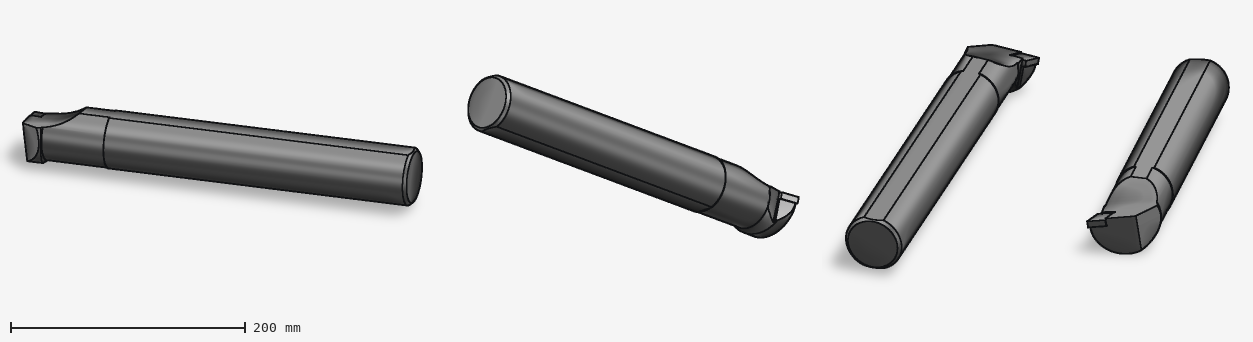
import cadquery as cq

total_length = 350.0
shank_start = 80.0
shank_diameter = 50.0
flat_height = 23.5
end_chamfer = 2.8
neck_start = 25.0
neck_diameter = 49.0

head_radius = 29.0
head_offset = head_radius - shank_diameter / 2
taper_start = 14.0
taper_slope = 0.76

rake_along_x = 0.14
rake_along_y = 0.125
rake_height = 6.5
floor_curve_start = 26.2
floor_curve_radius = 52.5
relief_depth = 10.0
relief_angle = 1.2
head_depth = 49.0
over = 3.5

insert_drop = 1.22
insert_thickness = 6.0
insert_width = 12.5
insert_tip = 35.5
insert_front = -0.77
insert_side_drop = 7.5
insert_face_inner = 19.5
insert_inner_corner = 13.0
insert_face_lean = 0.7
side_clearance = 1.5


def rake_plane(height):
    """Plane parallel to the rake floor, offset along its normal."""
    floor = cq.Plane(
        origin=(0, 0, rake_height),
        xDir=(1, 0, rake_along_x),
        normal=(-rake_along_x, rake_along_y, 1),
    )
    floor.origin = floor.toWorldCoords((0, 0, height))
    return floor


def round_bar(diameter, start, end):
    return cq.Workplane("YZ", origin=(start, 0, 0)).circle(diameter / 2).extrude(end - start)


def make_shank():
    """Round shank with a chamfered end and a flat above and below."""
    shank = round_bar(shank_diameter, shank_start, total_length).faces(">X").chamfer(end_chamfer)
    between_flats = cq.Workplane("XY").box(3 * total_length, 2 * shank_diameter, 2 * flat_height)
    return shank.intersect(between_flats)


def make_neck():
    """Round neck with a flat above only."""
    neck = round_bar(neck_diameter, neck_start, shank_start)
    above_flat = (
        cq.Workplane("XY", origin=(0, 0, flat_height))
        .rect(3 * total_length, 2 * shank_diameter)
        .extrude(neck_diameter)
    )
    return neck.cut(above_flat)


def head_round():
    """Eccentric cylinder limited by a cone that runs down to the neck."""
    cylinder = (
        cq.Workplane("YZ", origin=(-over, head_offset, 0))
        .circle(head_radius)
        .extrude(neck_start + over)
    )
    neck_radius = neck_diameter / 2
    taper_radius = neck_radius + taper_slope * (neck_start - taper_start)
    envelope = (
        cq.Workplane("XZ")
        .moveTo(-over, 0)
        .lineTo(-over, taper_radius)
        .lineTo(taper_start, taper_radius)
        .lineTo(neck_start, neck_radius)
        .lineTo(neck_start, 0)
        .close()
        .revolve(360, (0, 0, 0), (1, 0, 0))
    )
    return cylinder.intersect(envelope)


def head_outline(height):
    """Outline of the head in a plane parallel to the rake floor."""
    seat_tip = insert_tip - side_clearance
    front_x = -0.5
    corner_start = (2.0, -4.0)
    corner_end = (2.8, -7.0)
    lead_end = (27.3, -29.0)
    side_y = 24.5
    return cq.Workplane(rake_plane(height)).polyline([
        (front_x, seat_tip),
        corner_start,
        corner_end,
        lead_end,
        (2 * neck_start, lead_end[1]),
        (2 * neck_start, side_y),
        (insert_width, side_y),
        (insert_width, seat_tip - insert_side_drop),
    ]).close()


def make_head():
    """Head faces stand square to the rake floor, then lean in by the relief angle."""
    upper = head_outline(over).extrude(-relief_depth - over)
    lower = head_outline(-relief_depth).extrude(-head_depth, taper=relief_angle)
    return head_round().intersect(upper.union(lower))


def rake_cutter():
    """Everything above the rake floor and its upward curve."""
    span = 2 * shank_diameter
    height = floor_curve_radius
    section = cq.Plane(
        origin=rake_plane(0).toWorldCoords((0, span / 2, 0)).toTuple(),
        xDir=(1, 0, rake_along_x),
        normal=-rake_plane(0).yDir,
    )
    return (
        cq.Workplane(section)
        .moveTo(-2 * over, 0)
        .lineTo(floor_curve_start, 0)
        .radiusArc((floor_curve_start + floor_curve_radius, floor_curve_radius), -floor_curve_radius)
        .lineTo(-2 * over, height)
        .close()
        .extrude(span)
    )


def insert_outline():
    return cq.Workplane(rake_plane(-insert_drop)).polyline([
        (insert_front, insert_tip),
        (insert_width, insert_tip - insert_side_drop),
        (insert_width, insert_inner_corner),
        (insert_front + insert_face_lean, insert_face_inner),
    ]).close()


def make_insert():
    return insert_outline().extrude(-insert_thickness)


def make_holder(insert):
    """Bar and head in one piece, with the rake floor and the insert seat cut in."""
    holder = make_shank().union(make_neck()).union(make_head())
    seat_opening = insert_outline().extrude(insert_drop + over)
    return holder.cut(rake_cutter()).cut(seat_opening).cut(insert)


insert = make_insert()
holder = make_holder(insert)

result = cq.Compound.makeCompound([holder.solids().val(), insert.val()])